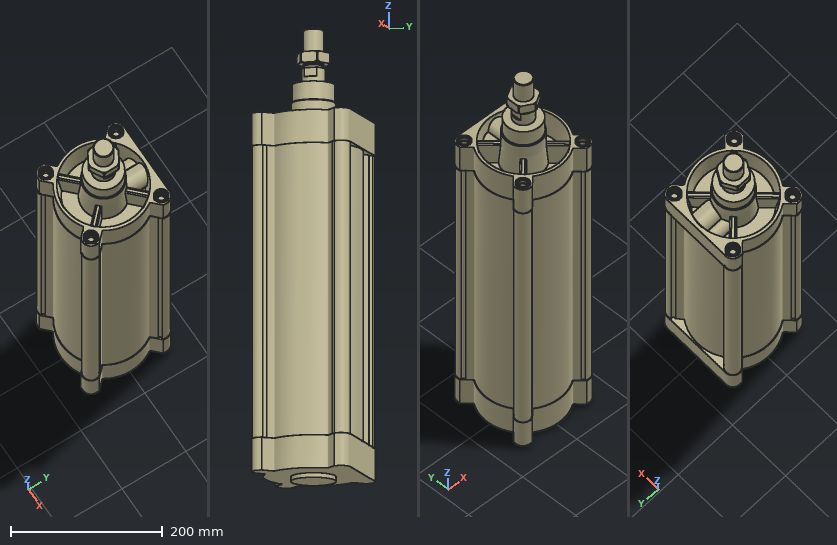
import cadquery as cq
import math

side = 136.0
total_height = 605.0
body_diameter = 133.0
screw_offset = 55.0
shoulder = 50.0
spigot_diameter = 60.0
spigot_height = 6.0
cap_height = 44.0
barrel_inset = 0.5
valley_radius = 2.0

barrel_bottom = spigot_height + cap_height
cap_top = 486.5
barrel_top = cap_top - cap_height
neck_top = 507.5
collar_top = 532.0
wrench_flat_bottom = 541.0
shank_top = 553.0
thread_bottom = 556.5
nut_bottom = 559.0

half_side = side / 2
lug_radius = half_side - screw_offset
flank_offset = half_side - shoulder
corners = [(sx * screw_offset, sy * screw_offset) for sx in (-1, 1) for sy in (-1, 1)]

groove_diameter = 5.5
groove_setback = 3.0

rim_diameter = 123.5
recess_floor_diameter = 111.5
recess_depth = 36.0
hub_base_diameter = 66.5
rib_drop = 3.0
rib_ridge_width = 4.0
rib_width = 8.5
rib_bevel_height = 1.0
rib_base_width = 9.5

port_boss_diameter = 32.0
port_boss_x = 8.0
port_boss_z = 464.5
cushion_boss_diameter = 25.0
cushion_boss_x = -13.0
cushion_boss_z = 455.5

screw_clearance_diameter = 20.0
screw_head_diameter = 19.0
screw_gap_depth = 3.0
screw_thread_diameter = 13.0
screw_thread_depth = 6.0
screw_countersink_diameter = 16.0
screw_countersink_depth = 1.0
screw_core_diameter = 10.0
screw_core_depth = 12.0

collar_diameter = 57.0
collar_top_diameter = 56.0
neck_chamfer = 1.0

rod_diameter = 32.0
thread_diameter = 27.0
undercut_diameter = 25.0
wrench_flat_width = 27.0
rod_chamfer = 0.9
nut_width = 40.5
nut_height = 14.5
nut_diameter = 46.0
nut_chamfer_diameter = 43.5
nut_chamfer_height = 2.0


def cylinder(diameter, bottom, top):
    return cq.Workplane("XY").workplane(offset=bottom).circle(diameter / 2).extrude(top - bottom)


def cone(bottom_diameter, top_diameter, bottom, top):
    return (
        cq.Workplane("XY").workplane(offset=bottom).circle(bottom_diameter / 2)
        .workplane(offset=top - bottom).circle(top_diameter / 2).loft()
    )


def corner_copies(shape):
    return [shape.rotate((0, 0, 0), (0, 0, 1), 90 * quarter) for quarter in range(4)]


def shell_with_lugs(shell_diameter, lug, bottom, top):
    """Round shell with four lugs; the valley where each flank runs in to the shell is rounded."""
    body = cylinder(shell_diameter, bottom, top)
    for corner in corner_copies(lug.extrude(top - bottom)):
        body = body.union(corner)
    reach = shell_diameter / 2 + valley_radius
    valleys = body.edges("|Z").filter(lambda edge: math.hypot(edge.Center().x, edge.Center().y) < reach)
    return body.newObject(valleys.vals()).fillet(valley_radius)


def cap_lug(bottom):
    """Lug outline at +X +Y: rounded corner, short flats, then 45 degree flanks."""
    diagonal = screw_offset + lug_radius * math.sqrt(0.5)
    return (
        cq.Workplane("XY").workplane(offset=bottom)
        .moveTo(0, flank_offset)
        .lineTo(shoulder, half_side)
        .lineTo(screw_offset, half_side)
        .threePointArc((diagonal, diagonal), (half_side, screw_offset))
        .lineTo(half_side, shoulder)
        .lineTo(flank_offset, 0)
        .close()
    )


def barrel_lug(bottom):
    """Lug outline at +X +Y: one arc around the screw axis from flank to flank."""
    radius = lug_radius - barrel_inset
    offset = flank_offset - barrel_inset
    diagonal = screw_offset + radius * math.sqrt(0.5)
    along = (offset - math.sqrt(2 * radius**2 - offset**2)) / 2
    near = screw_offset - along
    far = near + offset
    return (
        cq.Workplane("XY").workplane(offset=bottom)
        .moveTo(0, offset)
        .lineTo(near, far)
        .threePointArc((diagonal, diagonal), (far, near))
        .lineTo(offset, 0)
        .close()
    )


def make_cap(bottom):
    """End cap with a flat port face on +Y."""
    port_face = (
        cq.Workplane("XY").workplane(offset=bottom)
        .center(0, half_side / 2).rect(2 * screw_offset, half_side).extrude(cap_height)
    )
    cap = shell_with_lugs(body_diameter, cap_lug(bottom), bottom, bottom + cap_height)
    return cap.union(port_face)


def make_barrel():
    """Barrel with a round groove along both flanks of every lug."""
    shell_diameter = body_diameter - 2 * barrel_inset
    barrel = shell_with_lugs(shell_diameter, barrel_lug(barrel_bottom), barrel_bottom, barrel_top)
    groove_x = shoulder - groove_setback
    groove_y = groove_x + flank_offset - barrel_inset
    groove = cylinder(groove_diameter, barrel_bottom, barrel_top).translate((groove_x, groove_y, 0))
    for flank_groove in (groove, groove.mirror("YZ")):
        for corner_groove in corner_copies(flank_groove):
            barrel = barrel.cut(corner_groove)
    return barrel


def make_recess_interior():
    """Hub, diagonal ribs and lying bosses left standing in the bearing cap recess."""
    floor = cap_top - recess_depth
    interior = cone(hub_base_diameter, spigot_diameter, floor, cap_top)
    rib_top = cap_top - rib_drop
    bevel_bottom = rib_top - rib_bevel_height
    rib = (
        cq.Workplane("XZ").polyline([
            (-rib_base_width / 2, floor), (rib_base_width / 2, floor),
            (rib_width / 2, bevel_bottom), (rib_ridge_width / 2, rib_top),
            (-rib_ridge_width / 2, rib_top), (-rib_width / 2, bevel_bottom),
        ]).close().extrude(body_diameter / 2, both=True)
    )
    for angle in (45, -45):
        interior = interior.union(rib.rotate((0, 0, 0), (0, 0, 1), angle))
    for x, z, diameter in (
        (port_boss_x, port_boss_z, port_boss_diameter),
        (cushion_boss_x, cushion_boss_z, cushion_boss_diameter),
    ):
        boss = cq.Workplane("XZ").center(x, z).circle(diameter / 2).extrude(-body_diameter / 2)
        interior = interior.union(boss)
    return interior


def cut_tie_screws(cap):
    """Sunk tie screw heads: an annular gap around each head and a stepped bore in it."""
    top_face = cq.Workplane("XY").workplane(offset=cap_top).pushPoints(corners)
    gap = top_face.circle(screw_clearance_diameter / 2).circle(screw_head_diameter / 2)
    cap = cap.cut(gap.extrude(-screw_gap_depth))
    for diameter, depth in (
        (screw_thread_diameter, screw_thread_depth),
        (screw_core_diameter, screw_core_depth),
    ):
        cap = cap.cut(top_face.circle(diameter / 2).extrude(-depth))
    countersink = cone(
        screw_thread_diameter, screw_countersink_diameter, cap_top - screw_countersink_depth, cap_top
    )
    for x, y in corners:
        cap = cap.cut(countersink.translate((x, y, 0)))
    return cap


def make_bearing_cap():
    recess = cone(recess_floor_diameter, rim_diameter, cap_top - recess_depth, cap_top)
    cap = make_cap(barrel_top).cut(recess.cut(make_recess_interior()))
    neck = cylinder(spigot_diameter, cap_top, neck_top).faces(">Z").chamfer(neck_chamfer)
    collar = cone(collar_diameter, collar_top_diameter, neck_top, collar_top)
    return cut_tie_screws(cap).union(neck).union(collar)


def make_housing():
    spigot = cylinder(spigot_diameter, 0, spigot_height)
    rod_hole = cylinder(rod_diameter, barrel_top, collar_top)
    return (
        make_cap(spigot_height).union(spigot)
        .union(make_barrel())
        .union(make_bearing_cap())
        .cut(rod_hole)
    )


def make_rod():
    shank = cylinder(rod_diameter, barrel_top, shank_top)
    flats = (
        cq.Workplane("XY").workplane(offset=wrench_flat_bottom)
        .rect(2 * rod_diameter, 2 * rod_diameter).rect(wrench_flat_width, 2 * rod_diameter)
        .extrude(shank_top - wrench_flat_bottom)
    )
    undercut = cylinder(undercut_diameter, shank_top, thread_bottom)
    thread = cylinder(thread_diameter, thread_bottom, total_height).faces("<Z or >Z").chamfer(rod_chamfer)
    return shank.cut(flats).union(undercut).union(thread)


def make_nut():
    """Hexagon nut, corners chamfered by cones at both ends."""
    nut_top = nut_bottom + nut_height
    corner_diameter = nut_width / math.cos(math.pi / 6)
    hexagon = (
        cq.Workplane("XY").workplane(offset=nut_bottom).polygon(6, corner_diameter)
        .extrude(nut_height).rotate((0, 0, 0), (0, 0, 1), 30)
    )
    chamfer_bottom = nut_bottom + nut_chamfer_height
    chamfer_top = nut_top - nut_chamfer_height
    envelope = (
        cone(nut_chamfer_diameter, nut_diameter, nut_bottom, chamfer_bottom)
        .union(cylinder(nut_diameter, chamfer_bottom, chamfer_top))
        .union(cone(nut_diameter, nut_chamfer_diameter, chamfer_top, nut_top))
    )
    return hexagon.intersect(envelope).cut(cylinder(thread_diameter, nut_bottom, nut_top))


housing = make_housing()
rod = make_rod()
nut = make_nut()

result = cq.Compound.makeCompound([housing.val(), rod.val(), nut.val()])